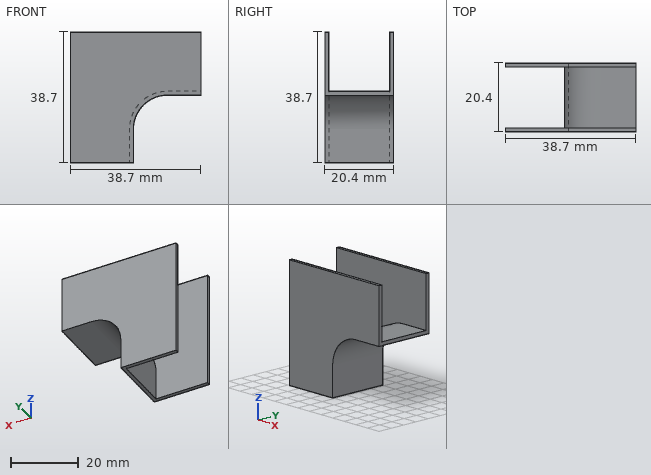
import cadquery as cq
import math

side_length = 38.7
outer_width = 20.4
wall = 1.2
straight_length = 10.0
inner_radius = 10.0

leg_width = side_length - straight_length - inner_radius
channel_width = outer_width - 2 * wall


def elbow_profile(leg, radius):
    """L-shaped outline in XZ, with its rounded inner corner at the lower right."""
    arc_center_x = side_length - straight_length
    arc_center_z = straight_length
    arc_mid_offset = radius * math.sqrt(0.5)
    return (
        cq.Workplane("XZ")
        .moveTo(0, 0)
        .lineTo(leg, 0)
        .lineTo(leg, straight_length)
        .threePointArc(
            (arc_center_x - arc_mid_offset, arc_center_z + arc_mid_offset),
            (arc_center_x, arc_center_z + radius),
        )
        .lineTo(side_length, side_length - leg)
        .lineTo(side_length, side_length)
        .lineTo(0, side_length)
        .close()
    )


def solid_elbow():
    """Full-width block with the plate outline, centred on Y = 0."""
    return elbow_profile(leg_width, inner_radius).extrude(outer_width / 2, both=True)


def channel():
    """Space between the plates, stopping one wall short of the inner corner."""
    return elbow_profile(leg_width - wall, inner_radius + wall).extrude(channel_width / 2, both=True)


result = solid_elbow().cut(channel())